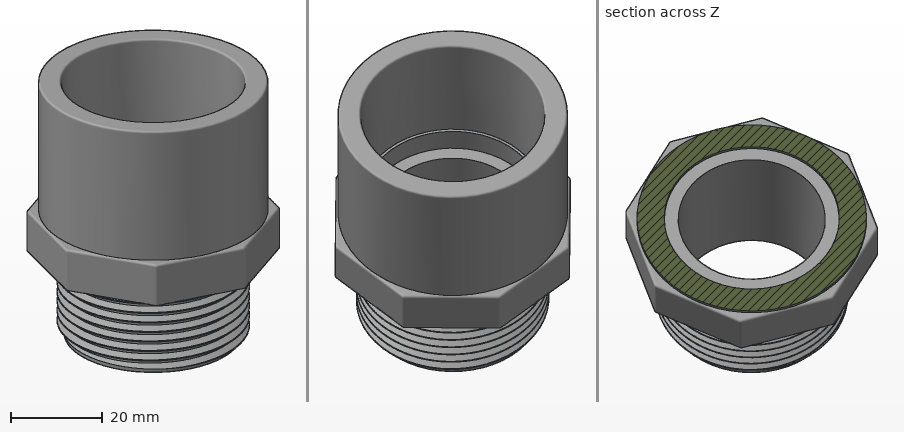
import cadquery as cq
import math

total_height = 61.3

flats_width = 51.0
collar_bottom = 20.15
collar_top = 30.1
collar_corner_radius = 1.0
collar_top_edge_radius = 0.55
collar_bottom_edge_radius = 0.3

barrel_diameter = 50.0
rim_radius = 0.5

collar_embed = 0.6

socket_mouth_diameter = 40.1
socket_floor_diameter = 39.35
socket_floor = 35.45
relief_diameter = 38.0
relief_floor = collar_top
bore_diameter = 32.0

root_diameter = 38.9
crest_diameter = 41.9
pitch = 2.31
flank_angle = 27.5
crest_width = 0.25
thread_start = 1.55
root_overlap = 0.2


def make_collar():
    """Octagonal collar with rounded corners and rounded upper and lower edges."""
    corner_diameter = flats_width / math.cos(math.pi / 8)
    blank = (
        cq.Workplane("XY")
        .workplane(offset=collar_bottom)
        .transformed(rotate=(0, 0, 22.5))
        .polygon(8, corner_diameter)
        .extrude(collar_top - collar_bottom)
    )
    rounded = blank.edges("|Z").fillet(collar_corner_radius)
    rounded = rounded.faces(">Z").edges().fillet(collar_top_edge_radius)
    return rounded.faces("<Z").edges().fillet(collar_bottom_edge_radius)


def make_barrel():
    """Plain cylinder that carries the socket, rounded at its outer rim."""
    barrel_bottom = collar_top - collar_embed
    barrel = (
        cq.Workplane("XY")
        .workplane(offset=barrel_bottom)
        .circle(barrel_diameter / 2)
        .extrude(total_height - barrel_bottom)
    )
    return barrel.faces(">Z").edges().fillet(rim_radius)


def make_thread_core():
    """Cylinder at the thread root, reaching into the collar."""
    return cq.Workplane("XY").circle(root_diameter / 2).extrude(collar_bottom + collar_embed)


def make_thread():
    """Helical ridge, cut flat at the lead-in and hidden inside the collar at its other end."""
    root_radius = root_diameter / 2
    crest_radius = crest_diameter / 2
    inner_radius = root_radius - root_overlap
    slope = math.tan(math.radians(flank_angle))
    half_crest = crest_width / 2
    half_base = half_crest + (crest_radius - inner_radius) * slope
    helix_bottom = thread_start - pitch
    turns = math.ceil((collar_bottom - helix_bottom) / pitch)

    path = cq.Wire.makeHelix(pitch, turns * pitch, root_radius)
    ridge = (
        cq.Workplane("XZ")
        .polyline(
            [
                (inner_radius, -half_base),
                (crest_radius, -half_crest),
                (crest_radius, half_crest),
                (inner_radius, half_base),
            ]
        )
        .close()
        .sweep(cq.Workplane(obj=path), isFrenet=True)
        .translate((0, 0, helix_bottom))
    )
    band = (
        cq.Workplane("XY")
        .workplane(offset=thread_start)
        .circle(crest_diameter / 2 + root_overlap)
        .extrude(collar_bottom + collar_embed - thread_start)
    )
    return ridge.intersect(band)


def make_bore():
    """Turned shape of the stepped opening, including the rounded socket mouth."""
    bore_radius = bore_diameter / 2
    relief_radius = relief_diameter / 2
    mouth_radius = socket_mouth_diameter / 2
    profile = (
        cq.Workplane("XZ")
        .moveTo(0, 0)
        .lineTo(bore_radius, 0)
        .lineTo(bore_radius, relief_floor)
        .lineTo(relief_radius, relief_floor)
        .lineTo(relief_radius, socket_floor)
        .lineTo(socket_floor_diameter / 2, socket_floor)
        .lineTo(mouth_radius, total_height - rim_radius)
        .radiusArc((mouth_radius + rim_radius, total_height), rim_radius)
        .lineTo(0, total_height)
        .close()
    )
    return profile.revolve(360, (0, 0, 0), (0, 1, 0))


body = make_collar().union(make_barrel()).union(make_thread_core())
result = body.union(make_thread()).cut(make_bore())